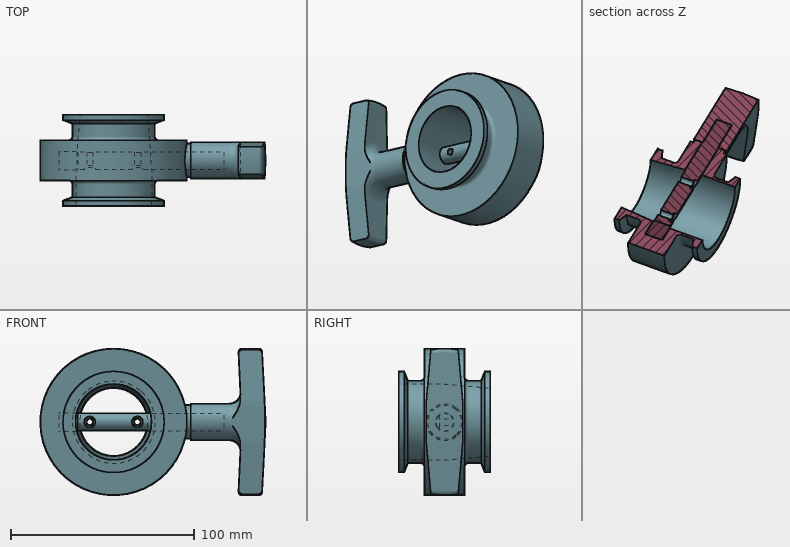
import cadquery as cq
import math


body_radius = 40.0
body_width = 22.0
overall_width = 50.0
flange_radius = 27.6
flange_rim_width = 3.0
flange_cone_width = 2.0
neck_radius = 22.5
neck_fillet = 2.0
inlet_radius = 20.7
outlet_radius = 18.5
boss_radius = 9.25
boss_length = 2.15

shaft_radius = 4.75
shaft_start = -19.5
shaft_socket_depth = 18.0
cross_hole_spacing = 26.0
cross_hole_radius = 1.75
counterbore_radius = 3.0
counterbore_depth = 2.0

pin_radius = 5.0
pin_length = 10.5

tube_radius = 10.0
grip_radius = body_radius
grip_apex = 83.0
grip_thickness = 13.0
grip_slope = 0.05
grip_rim_fillet = 2.0
flare_radius = 6.0
grip_half_width = tube_radius
grip_flat_half_height = 8.5
grip_blend_radius = 40.0
grip_taper = math.radians(5)
cutter_margin = 5.0

boss_end = body_radius + boss_length
shaft_end = boss_end + shaft_socket_depth
pin_end = shaft_start - pin_length
arc_middle = 1 - math.sqrt(0.5)


def x_cylinder(radius, start, end):
    """Cylinder about the X axis between two X positions."""
    return cq.Workplane("YZ", origin=(start, 0, 0)).circle(radius).extrude(end - start)


def turned_housing():
    """Wide ring with a clamp flange on each side; the bore tapers from mid-width to the +Y end."""
    half_body = body_width / 2
    half_width = overall_width / 2
    cone_start = half_width - flange_rim_width
    cone_end = cone_start - flange_cone_width
    fillet_middle = neck_fillet * arc_middle
    profile = (
        cq.Workplane("YZ")
        .moveTo(-half_width, inlet_radius)
        .lineTo(-half_width, flange_radius)
        .lineTo(-cone_start, flange_radius)
        .lineTo(-cone_end, neck_radius)
        .lineTo(-half_body - neck_fillet, neck_radius)
        .threePointArc(
            (-half_body - fillet_middle, neck_radius + fillet_middle),
            (-half_body, neck_radius + neck_fillet),
        )
        .lineTo(-half_body, body_radius)
        .lineTo(half_body, body_radius)
        .lineTo(half_body, neck_radius + neck_fillet)
        .threePointArc(
            (half_body + fillet_middle, neck_radius + fillet_middle),
            (half_body + neck_fillet, neck_radius),
        )
        .lineTo(cone_end, neck_radius)
        .lineTo(cone_start, flange_radius)
        .lineTo(half_width, flange_radius)
        .lineTo(half_width, outlet_radius)
        .lineTo(0, inlet_radius)
        .close()
    )
    return profile.revolve(360, (0, 0, 0), (1, 0, 0))


def make_housing():
    """Turned ring with a boss on the handle side and holes for the shaft and the pin."""
    boss_root = (inlet_radius + body_radius) / 2
    housing = turned_housing().union(x_cylinder(boss_radius, boss_root, boss_end))
    housing = housing.cut(x_cylinder(shaft_radius, 0, boss_end))
    return housing.cut(x_cylinder(pin_radius, pin_end, 0))


def make_shaft():
    """Round shaft across the bore, with through holes counterbored from the -Y side."""
    shaft = x_cylinder(shaft_radius, shaft_start, shaft_end)
    counterbore_floor = -shaft_radius + counterbore_depth
    for side in (-1, 1):
        hole_x = side * cross_hole_spacing / 2
        hole = cq.Workplane("XZ", origin=(hole_x, 0, 0)).circle(cross_hole_radius)
        counterbore = cq.Workplane("XZ", origin=(hole_x, counterbore_floor, 0)).circle(counterbore_radius)
        shaft = shaft.cut(hole.extrude(shaft_radius, both=True))
        shaft = shaft.cut(counterbore.extrude(shaft_radius))
    return shaft


def make_pin():
    """Plain pin in the housing wall, butting against the free end of the shaft."""
    return x_cylinder(pin_radius, pin_end, shaft_start)


grip_tilt = math.atan(grip_slope)
flare_center_radius = tube_radius + flare_radius
flare_start = (
    grip_apex - grip_thickness - grip_slope * flare_center_radius - flare_radius / math.cos(grip_tilt)
)


def flare_point(angle):
    """Point of the flare arc, as X and distance from the X axis, after turning by an angle."""
    return (
        flare_start + flare_radius * math.sin(angle),
        flare_center_radius - flare_radius * math.cos(angle),
    )


def turned_grip():
    """Round head with parallel cones in front and behind, flaring out of the tube."""
    flare_turn = math.pi / 2 + grip_tilt
    front_rim_x = grip_apex - grip_slope * grip_radius
    profile = (
        cq.Workplane("XY")
        .moveTo(flare_start, 0)
        .lineTo(flare_start, tube_radius)
        .threePointArc(flare_point(flare_turn / 2), flare_point(flare_turn))
        .lineTo(front_rim_x - grip_thickness, grip_radius)
        .lineTo(front_rim_x, grip_radius)
        .lineTo(grip_apex, 0)
        .close()
    )
    head = profile.revolve(360, (0, 0, 0), (1, 0, 0))
    return head.edges(cq.selectors.RadiusNthSelector(-1)).fillet(grip_rim_fillet)


def blend_point(angle):
    """Point, as Y and Z, of the arc that turns the middle flat of the grip into its tapered arm."""
    return (
        grip_half_width - grip_blend_radius * (1 - math.cos(angle)),
        grip_flat_half_height + grip_blend_radius * math.sin(angle),
    )


def grip_envelope():
    """Prism along X that trims the head: flat sides in the middle, arms tapering to the tips."""
    blend_y, blend_z = blend_point(grip_taper)
    tip_z = grip_radius + cutter_margin
    tip_y = blend_y - (tip_z - blend_z) * math.tan(grip_taper)
    quarter = (
        cq.Workplane("YZ")
        .moveTo(0, 0)
        .lineTo(grip_half_width, 0)
        .lineTo(grip_half_width, grip_flat_half_height)
        .threePointArc(blend_point(grip_taper / 2), (blend_y, blend_z))
        .lineTo(tip_y, tip_z)
        .lineTo(0, tip_z)
        .close()
        .extrude(grip_apex + cutter_margin)
    )
    half = quarter.union(quarter.mirror("XZ"))
    return half.union(half.mirror("XY")).clean()


def make_handle():
    """T-shaped handle: a tube ending in the trimmed grip, with a blind socket for the shaft."""
    tube = x_cylinder(tube_radius, boss_end, flare_start)
    handle = turned_grip().intersect(grip_envelope()).union(tube)
    return handle.cut(x_cylinder(shaft_radius, boss_end, shaft_end))


housing = make_housing()
shaft = make_shaft()
pin = make_pin()
handle = make_handle()

result = cq.Compound.makeCompound([*housing.vals(), *shaft.vals(), *pin.vals(), *handle.vals()])